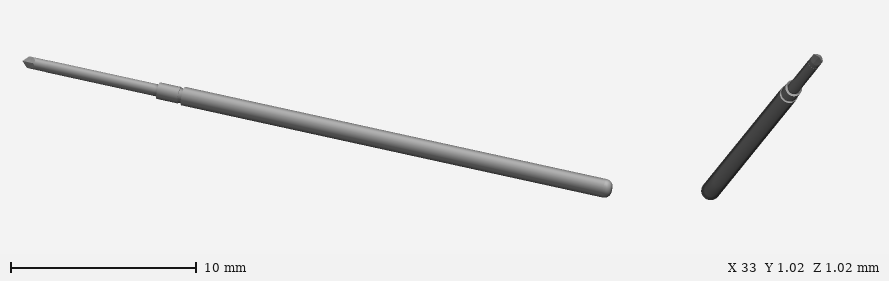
import cadquery as cq
import math

total_length = 33.02

tip_diameter = 0.64
shank_diameter = 0.66
collar_diameter = 0.91
groove_diameter = 0.82
barrel_diameter = 1.02

shank_start = 1.40
collar_start = 7.62
groove_start = 8.80
barrel_start = 9.01

tail_radius = 0.38

narrow_ridge_azimuth = 49.0
front_narrow_ridge_angle = 22.5
front_wide_ridge_angle = 45.0
rear_apex = 0.12
rear_narrow_ridge_angle = 30.0
rear_wide_ridge_angle = 52.0


def cylinder(start, end, diameter):
    """Solid cylinder about the X axis between two stations."""
    return cq.Workplane("YZ", origin=(start, 0, 0)).circle(diameter / 2).extrude(end - start)


def rhombic_pyramid(apex, base, narrow_angle, wide_angle):
    """Pyramid with its apex on the axis and a rhombic base, both at given stations along X."""
    point = cq.Vector(apex, 0, 0)
    corners = []
    for quarter in range(4):
        ridge_angle = narrow_angle if quarter % 2 == 0 else wide_angle
        radius = (base - apex) * math.tan(math.radians(ridge_angle))
        azimuth = math.radians(narrow_ridge_azimuth + 90 * quarter)
        corners.append(cq.Vector(base, -radius * math.cos(azimuth), radius * math.sin(azimuth)))

    outlines = [corners]
    for corner, next_corner in zip(corners, corners[1:] + corners[:1]):
        outlines.append([point, corner, next_corner])
    faces = [cq.Face.makeFromWires(cq.Wire.makePolygon(outline, close=True)) for outline in outlines]
    return cq.Workplane(obj=cq.Solid.makeSolid(cq.Shell.makeShell(faces)))


def make_tip():
    """Round tip section with its front end ground to the two-stage faceted point."""
    front = rhombic_pyramid(0, shank_start, front_narrow_ridge_angle, front_wide_ridge_angle)
    rear = rhombic_pyramid(rear_apex, shank_start, rear_narrow_ridge_angle, rear_wide_ridge_angle)
    return cylinder(0, shank_start, tip_diameter).intersect(front.union(rear))


def make_barrel():
    """Barrel with a rounded tail."""
    return cylinder(barrel_start, total_length, barrel_diameter).faces(">X").edges().fillet(tail_radius)


shank = cylinder(shank_start, collar_start, shank_diameter)
collar = cylinder(collar_start, groove_start, collar_diameter)
groove = cylinder(groove_start, barrel_start, groove_diameter)

result = make_tip().union(shank).union(collar).union(groove).union(make_barrel())